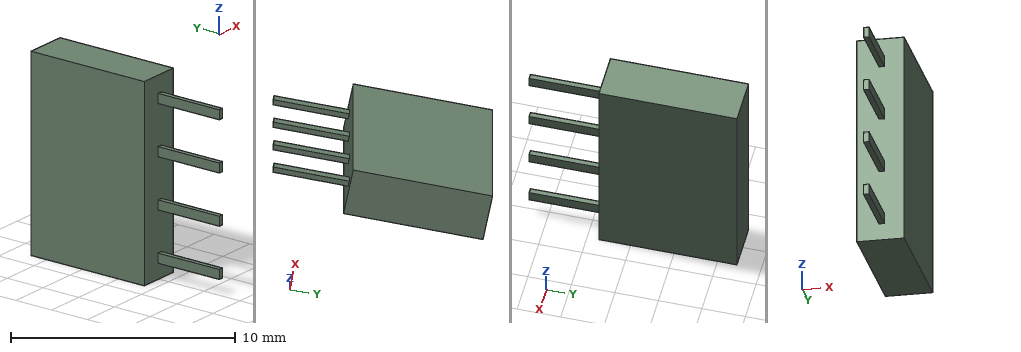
import cadquery as cq

body_width = 2.16
body_depth = 6.35
body_height = 9.75

pin_count = 4
pin_pitch = 2.54
pin_width = 0.25
pin_height = 0.48
pin_length = 3.43
pin_offset_x = 0.06
lowest_pin_z = 1.02


def make_body():
    """Block with its pin face on Y = 0 and its base on Z = 0."""
    return cq.Workplane("XY").box(
        body_width, body_depth, body_height, centered=(True, False, False)
    )


def make_pin(centre_z):
    """Rectangular lead running from the pin face toward -Y."""
    return (
        cq.Workplane("XZ")
        .center(pin_offset_x, centre_z)
        .rect(pin_width, pin_height)
        .extrude(pin_length)
    )


result = make_body()
for index in range(pin_count):
    result = result.union(make_pin(lowest_pin_z + index * pin_pitch))